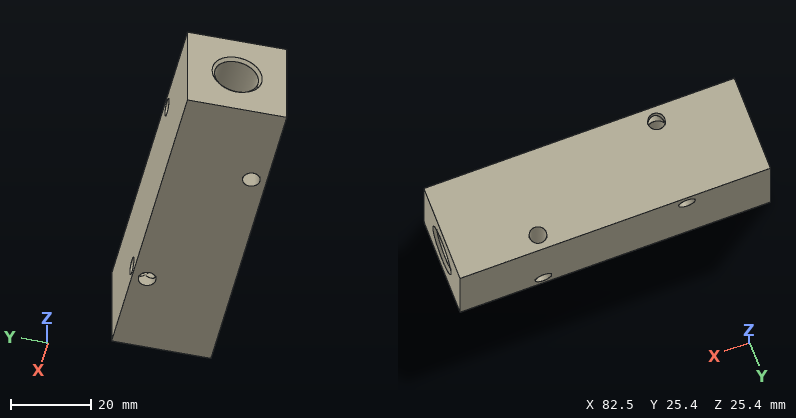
import cadquery as cq

length = 82.55
side = 25.4

bore_diameter = 11.2
mouth_diameter = 12.8
mouth_chamfer = (mouth_diameter - bore_diameter) / 2

mount_diameter = 4.4
mount_half_spacing = 19.1
mount_offset = 8.8
first_hole_side = {"<Y": 1, ">Z": -1}


def drill_mounting_pair(body, face):
    """Drill two diagonally opposite holes right through from the given face."""
    return (
        body.faces(face)
        .workplane(origin=(0, 0, 0))
        .pushPoints([
            (-mount_half_spacing, first_hole_side[face] * mount_offset),
            (mount_half_spacing, -first_hole_side[face] * mount_offset),
        ])
        .hole(mount_diameter)
    )


block = cq.Workplane("XY").box(length, side, side)
block = block.faces("<X").workplane(origin=(0, 0, 0)).hole(bore_diameter)
block = block.faces("<X or >X").edges("%CIRCLE").chamfer(mouth_chamfer)
for face in first_hole_side:
    block = drill_mounting_pair(block, face)

result = block